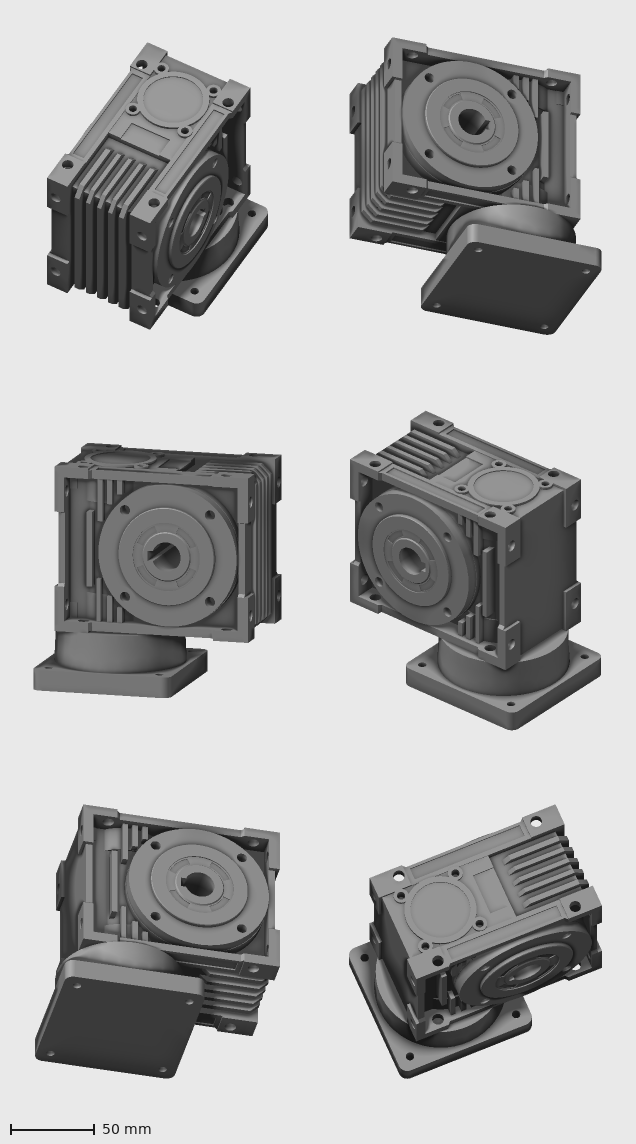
import cadquery as cq
import math


housing_front = -50.0
housing_back = 70.9
half_height = 50.3
housing_length = housing_back - housing_front
housing_mid_y = (housing_front + housing_back) / 2
worm_y = 40.0

casing_half_width = 21.5
casing_back = 68.8
casing_front = -44.0
casing_step_y = -0.3
upper_half_height = 48.7
finned_half_height = 44.2

frame_face = 35.5
rail_face = 33.7
front_rail_y = -47.6
back_rail_y = casing_back
rail_half_height = 49.2
block_front_end = -28.3
block_back_end = 49.8
block_inner_z = 22.8
relief_slope = 1.8
upper_leg_slope = 0.5
pocket_floor = 22.3
pocket_front = -43.5
pocket_back = 64.7
pocket_half_height = 44.0
frame_hole_dia = 7.0
frame_hole_x = 29.8
frame_hole_ys = (-35.1, 54.3)
frame_hole_z = 34.8
pad_length = 4.4
pad_height = 9.2
pad_thickness = 0.4

groove_x = 28.2
groove_width = 7.5
groove_front = -25.2
groove_back = 46.2
shallow_depth = 1.0
plate_width = 26.5
plate_back = 13.2

fins_each_side = 2
fin_pitch = 7.6
fin_width = 2.7
outer_fin_width = 3.3
fin_start = -7.1
fin_top_start = -11.7
fin_top_end = -43.5
fin_face = -49.5
fin_corner_z = 42.5

bulge_radius = 26.7
bulge_waist_radius = 25.7
waist_half_height = 28.0
rib_face = 30.6
ribs = (
    (50.5, 3.3, -block_inner_z, block_inner_z),
    (43.8, 3.3, 17.5, pocket_half_height),
    (37.8, 3.3, 28.3, pocket_half_height),
    (31.5, 3.3, 34.7, pocket_half_height),
    (44.7, 2.7, -pocket_half_height, -18.0),
    (37.8, 3.3, -pocket_half_height, -28.0),
    (31.5, 3.3, -pocket_half_height, -34.7),
)

wheel_case_radius = 43.4
cover_radius = 43.1
cover_back = 29.4
cover_face = 36.5
cover_hole_offset = 26.5
cover_hole_dia = 6.3
cover_hole_depth = 10.9
pilot_radius = 29.9
pilot_face = 39.0
pilot_chamfer = 0.4
seal_radius = 21.0
seal_depth = 0.7
hub_radius = 15.1
hub_chamfer = 0.7
seal_slot_inner_radius = 15.8
seal_slot_outer_radius = 20.0
seal_slot_depth = 0.5
seal_slot_sweep = 46.0
bore_radius = 9.0
key_width = 6.3
key_top = 11.5

lid_radius = 21.6
lid_recess_radius = 18.0
lid_recess_depth = 0.7
lug_circle_radius = 25.2
lug_radius = 4.5
lug_rotation = 1.0
lug_hole_dia = 4.9
lug_hole_depth = 8.2

flange_size = 86.0
flange_bottom = -85.7
flange_top = -73.2
flange_corner_radius = 5.3
flange_hole_offset = 34.5
flange_hole_dia = 5.0
neck_top_radius = 38.8
neck_bottom_radius = 39.7


def box(x_range, y_range, z_range):
    """Box spanning the given (low, high) ranges."""
    low = cq.Vector(x_range[0], y_range[0], z_range[0])
    high = cq.Vector(x_range[1], y_range[1], z_range[1])
    size = high - low
    return cq.Workplane("XY").box(size.x, size.y, size.z, centered=False).translate(low)


def x_cylinder(radius, start, end):
    """Cylinder on the output axis."""
    return cq.Workplane("YZ", origin=(start, 0, 0)).circle(radius).extrude(end - start)


def worm_cylinder(radius, start, end):
    """Cylinder on the worm axis."""
    return cq.Workplane("XY", origin=(0, worm_y, start)).circle(radius).extrude(end - start)


def make_casing():
    x_span = (-casing_half_width, casing_half_width)
    upper = box(x_span, (casing_step_y, casing_back), (-upper_half_height, upper_half_height))
    finned = box(x_span, (casing_front, casing_step_y), (-finned_half_height, finned_half_height))
    plate_recess = box(
        (-plate_width / 2, plate_width / 2),
        (casing_step_y, plate_back),
        (upper_half_height - shallow_depth, upper_half_height),
    )
    return upper.union(finned).cut(plate_recess)


def make_fin(x, thickness):
    """Fin wrapped around the finned end of the casing, with bevelled corners."""
    upper_half = [
        (fin_start, finned_half_height),
        (fin_top_start, upper_half_height),
        (fin_top_end, upper_half_height),
        (fin_face, fin_corner_z),
    ]
    lower_half = [(y, -z) for y, z in reversed(upper_half)]
    return (
        cq.Workplane("YZ", origin=(x - thickness / 2, 0, 0))
        .polyline(upper_half + lower_half)
        .close()
        .extrude(thickness)
    )


def make_frame():
    """Frame on the +X side: four corner blocks joined by recessed rails."""
    frame = box(
        (casing_half_width, frame_face),
        (housing_front, housing_back),
        (-half_height, half_height),
    )

    block_gap = (block_front_end, block_back_end)
    leg_gap = (-block_inner_z, block_inner_z)
    depth = (casing_half_width, frame_face)
    frame = frame.cut(box(depth, block_gap, (rail_half_height, half_height)))
    frame = frame.cut(box(depth, block_gap, (-half_height, -rail_half_height)))
    frame = frame.cut(box(depth, (housing_front, front_rail_y), leg_gap))
    frame = frame.cut(box(depth, (back_rail_y, housing_back), leg_gap))

    side_relief = (
        cq.Workplane("XY")
        .polyline([
            (frame_face, block_front_end),
            (rail_face, block_front_end + relief_slope),
            (rail_face, block_back_end - relief_slope),
            (frame_face, block_back_end),
        ])
        .close()
        .extrude(half_height, both=True)
    )
    leg_relief = (
        cq.Workplane("XZ", origin=(0, housing_mid_y, 0))
        .polyline([
            (frame_face, -block_inner_z),
            (rail_face, -block_inner_z + relief_slope),
            (rail_face, block_inner_z - upper_leg_slope),
            (frame_face, block_inner_z),
        ])
        .close()
        .extrude(housing_length / 2, both=True)
    )
    frame = frame.cut(side_relief).cut(leg_relief)

    pocket = box(
        (pocket_floor, frame_face),
        (pocket_front, pocket_back),
        (-pocket_half_height, pocket_half_height),
    )
    frame = frame.cut(pocket)

    vertical_holes = (
        cq.Workplane("XY")
        .pushPoints([(frame_hole_x, y) for y in frame_hole_ys])
        .circle(frame_hole_dia / 2)
        .extrude(half_height, both=True)
    )
    lengthwise_holes = (
        cq.Workplane("XZ", origin=(0, housing_mid_y, 0))
        .pushPoints([(frame_hole_x, -frame_hole_z), (frame_hole_x, frame_hole_z)])
        .circle(frame_hole_dia / 2)
        .extrude(housing_length / 2, both=True)
    )
    frame = frame.cut(vertical_holes).cut(lengthwise_holes)

    groove = box(
        (groove_x - groove_width / 2, groove_x + groove_width / 2),
        (groove_front, groove_back),
        (rail_half_height - shallow_depth, rail_half_height),
    )
    frame = frame.cut(groove).cut(groove.mirror("XY"))

    pad = box(
        (pocket_floor, pocket_floor + pad_thickness),
        (pocket_back - pad_length, pocket_back),
        (pocket_half_height - pad_height, pocket_half_height),
    )
    return frame.union(pad).union(pad.mirror("XY"))


def make_bulge():
    """Rounded worm case standing out of the pocket floor, with its ribs."""
    bulge = worm_cylinder(bulge_waist_radius, -pocket_half_height, pocket_half_height)
    bulge = bulge.union(worm_cylinder(bulge_radius, waist_half_height, pocket_half_height))
    bulge = bulge.union(worm_cylinder(bulge_radius, -pocket_half_height, -waist_half_height))
    for y, thickness, low, high in ribs:
        y_span = (y - thickness / 2, y + thickness / 2)
        bulge = bulge.union(box((casing_half_width, rib_face), y_span, (low, high)))
    outside_floor = box(
        (casing_half_width, frame_face),
        (pocket_front, pocket_back),
        (-pocket_half_height, pocket_half_height),
    )
    return bulge.intersect(outside_floor)


def make_cover():
    """Round wheel case and output cover on the +X side."""
    cover = x_cylinder(wheel_case_radius, casing_half_width, cover_back)
    cover = cover.union(x_cylinder(cover_radius, cover_back, cover_face))
    pilot = x_cylinder(pilot_radius, cover_face, pilot_face).faces(">X").chamfer(pilot_chamfer)
    cover = cover.union(pilot)

    holes = (
        cq.Workplane("YZ", origin=(cover_face - cover_hole_depth, 0, 0))
        .rect(2 * cover_hole_offset, 2 * cover_hole_offset, forConstruction=True)
        .vertices()
        .circle(cover_hole_dia / 2)
        .extrude(cover_hole_depth)
    )
    cover = cover.cut(holes)

    seal_face = pilot_face - seal_depth
    cover = cover.cut(x_cylinder(seal_radius, seal_face, pilot_face))
    half_sweep = math.radians(seal_slot_sweep / 2)

    def slot_point(radius, angle):
        return (radius * math.cos(angle), radius * math.sin(angle))

    slot = (
        cq.Workplane("YZ", origin=(seal_face - seal_slot_depth, 0, 0))
        .moveTo(*slot_point(seal_slot_inner_radius, -half_sweep))
        .lineTo(*slot_point(seal_slot_outer_radius, -half_sweep))
        .threePointArc((seal_slot_outer_radius, 0), slot_point(seal_slot_outer_radius, half_sweep))
        .lineTo(*slot_point(seal_slot_inner_radius, half_sweep))
        .threePointArc((seal_slot_inner_radius, 0), slot_point(seal_slot_inner_radius, -half_sweep))
        .close()
        .extrude(seal_slot_depth)
    )
    for angle in (45, 135, 225, 315):
        cover = cover.cut(slot.rotate((0, 0, 0), (1, 0, 0), angle))

    hub = x_cylinder(hub_radius, seal_face - hub_chamfer, pilot_face)
    return cover.union(hub.faces(">X").chamfer(hub_chamfer))


def make_lid():
    """Plain upper bearing lid with four screw lugs; it reaches the top of the housing."""
    lid = worm_cylinder(lid_radius, finned_half_height, half_height)
    lug_plane = cq.Workplane("XY", origin=(0, worm_y, finned_half_height))
    lugs = (
        lug_plane.polarArray(lug_circle_radius, 45 + lug_rotation, 360, 4)
        .circle(lug_radius)
        .extrude(half_height - finned_half_height)
    )
    return lid.union(lugs)


def make_lid_cuts():
    """Shallow round recess and screw holes of the upper lid."""
    recess = worm_cylinder(lid_recess_radius, half_height - lid_recess_depth, half_height)
    holes = (
        cq.Workplane("XY", origin=(0, worm_y, half_height - lug_hole_depth))
        .polarArray(lug_circle_radius, 45 + lug_rotation, 360, 4)
        .circle(lug_hole_dia / 2)
        .extrude(lug_hole_depth)
    )
    return recess.union(holes)


def make_motor_adapter():
    flange = (
        cq.Workplane("XY", origin=(0, worm_y, flange_bottom))
        .rect(flange_size, flange_size)
        .extrude(flange_top - flange_bottom)
        .edges("|Z")
        .fillet(flange_corner_radius)
        .faces(">Z")
        .workplane(origin=(0, worm_y, 0))
        .rect(2 * flange_hole_offset, 2 * flange_hole_offset, forConstruction=True)
        .vertices()
        .hole(flange_hole_dia)
    )
    neck = (
        cq.Workplane("XY", origin=(0, worm_y, flange_top))
        .circle(neck_bottom_radius)
        .workplane(offset=-half_height - flange_top)
        .circle(neck_top_radius)
        .loft(ruled=True)
    )
    return flange.union(neck)


def make_output_bore():
    bore = x_cylinder(bore_radius, -pilot_face, pilot_face)
    keyway = box((-pilot_face, pilot_face), (0, key_top), (-key_width / 2, key_width / 2))
    return bore.union(keyway)


side = make_frame().union(make_bulge()).union(make_cover())
lid = make_lid()
result = make_casing()
for index in range(-fins_each_side, fins_each_side + 1):
    thickness = outer_fin_width if abs(index) == fins_each_side else fin_width
    result = result.union(make_fin(index * fin_pitch, thickness))
result = result.union(side).union(side.mirror("YZ"))
result = result.union(lid).union(lid.mirror("XY"))
result = result.cut(make_lid_cuts())
result = result.union(make_motor_adapter())
result = result.cut(make_output_bore())